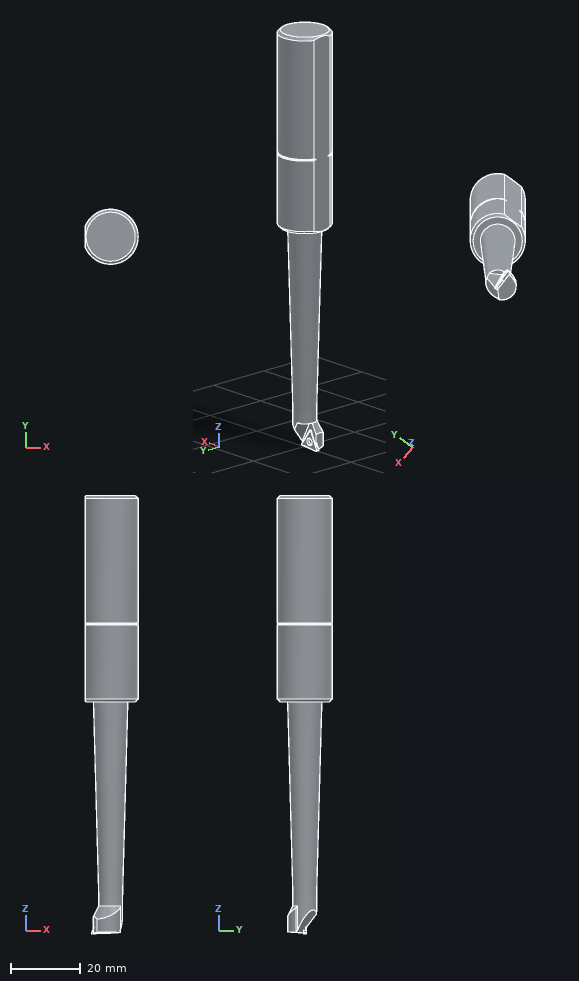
import cadquery as cq
import math

TOTAL_LENGTH = 127.0
SHANK_DIAMETER = 16.0
SHANK_BOTTOM = 67.2
SHANK_CHAMFER = 0.9
FLAT_X = -7.4
GROOVE_Z = 89.8
GROOVE_DEPTH = 0.3

NECK_TOP_DIAMETER = 10.0
NECK_DIAMETER = 7.0
TAPER_END = 11.2
HEAD_TOP = 8.1

FLARE_SLOPE = 0.5
HEAD_LEFT = -5.1
HEAD_CORNER = (-4.0, -3.7)
HEAD_FRONT = (-1.0, -5.0)
HEAD_RIGHT = (2.8, -2.48)
HEAD_SIDE_MIDDLE = (-4.7, -1.8)
HEAD_BOTTOM = 0.3
BOTTOM_TILT = 4.0

POCKET_FLOOR_Y = 0.3
WEB_FOOT_X = 1.7
WEB_TOP_X = -2.4
WEB_DRAFT = 28.0
RELIEF_TOP = 7.0
RELIEF_ANGLE = 63.0

INSERT_TIP_X = -5.6
INSCRIBED_DIAMETER = 4.0
INSERT_TURN = 5.0
HALF_CORNER = 30.0
NOSE_RADIUS = 0.3
INSERT_SEAT_Y = -0.4
INSERT_THICKNESS = 0.9
INSERT_HOLE_DIAMETER = 2.2

NECK_RADIUS = NECK_DIAMETER / 2
CUT_SIZE = 2 * SHANK_DIAMETER


def make_shank():
    shank = (
        cq.Workplane("XY", origin=(0, 0, SHANK_BOTTOM))
        .circle(SHANK_DIAMETER / 2)
        .extrude(TOTAL_LENGTH - SHANK_BOTTOM)
        .faces("<Z or >Z")
        .chamfer(SHANK_CHAMFER)
    )
    flat_cutter = cq.Workplane("XY").box(
        CUT_SIZE, CUT_SIZE, TOTAL_LENGTH, centered=(False, True, False)
    ).translate((FLAT_X - CUT_SIZE, 0, 0))
    outer = SHANK_DIAMETER / 2
    groove = (
        cq.Workplane("XZ")
        .polyline([
            (outer, GROOVE_Z - GROOVE_DEPTH),
            (outer - GROOVE_DEPTH, GROOVE_Z),
            (outer, GROOVE_Z + GROOVE_DEPTH),
        ])
        .close()
        .revolve(360, (0, 0), (0, 1))
    )
    return shank.cut(flat_cutter).cut(groove)


def make_neck():
    outline = [
        (0, 0),
        (NECK_RADIUS, 0),
        (NECK_RADIUS, TAPER_END),
        (NECK_TOP_DIAMETER / 2, SHANK_BOTTOM),
        (0, SHANK_BOTTOM),
    ]
    return cq.Workplane("XZ").polyline(outline).close().revolve(360, (0, 0), (0, 1))


def make_flared_head():
    head = (
        cq.Workplane("XY")
        .moveTo(HEAD_LEFT, POCKET_FLOOR_Y)
        .threePointArc(HEAD_SIDE_MIDDLE, HEAD_CORNER)
        .threePointArc(HEAD_FRONT, HEAD_RIGHT)
        .lineTo(HEAD_RIGHT[0], POCKET_FLOOR_Y)
        .close()
        .extrude(HEAD_TOP)
    )
    flare = (
        cq.Workplane("XZ")
        .polyline([
            (0, 0),
            (NECK_RADIUS + FLARE_SLOPE * HEAD_TOP, 0),
            (NECK_RADIUS, HEAD_TOP),
            (0, HEAD_TOP),
        ])
        .close()
        .revolve(360, (0, 0), (0, 1))
    )
    return head.intersect(flare)


def chip_pocket():
    """Open space in front of the insert, leaving a web on the +X side."""
    pocket = (
        cq.Workplane("XZ", origin=(0, POCKET_FLOOR_Y, 0))
        .polyline([
            (-CUT_SIZE, -HEAD_TOP),
            (WEB_FOOT_X, -HEAD_TOP),
            (WEB_FOOT_X, 0),
            (WEB_TOP_X, HEAD_TOP),
            (-CUT_SIZE, HEAD_TOP),
        ])
        .close()
        .extrude(-SHANK_DIAMETER / 2, taper=-WEB_DRAFT)
    )
    below_ceiling = (
        cq.Workplane("XY", origin=(0, 0, HEAD_TOP))
        .rect(2 * CUT_SIZE, 2 * CUT_SIZE)
        .extrude(-CUT_SIZE)
    )
    return pocket.intersect(below_ceiling)


def web_relief():
    """Sloping cut on the (+X, +Y) side of the web."""
    reach = RELIEF_TOP / math.tan(math.radians(RELIEF_ANGLE))
    return (
        cq.Workplane("XZ")
        .polyline([
            (NECK_RADIUS, RELIEF_TOP),
            (NECK_RADIUS - 2 * reach, -RELIEF_TOP),
            (CUT_SIZE, -RELIEF_TOP),
            (CUT_SIZE, RELIEF_TOP),
        ])
        .close()
        .extrude(CUT_SIZE / 2, both=True)
        .rotate((0, 0, 0), (0, 0, 1), 45)
    )


def bottom_clearance():
    return (
        cq.Workplane("XY")
        .box(CUT_SIZE, CUT_SIZE, CUT_SIZE, centered=(True, True, False))
        .translate((0, 0, -CUT_SIZE))
        .rotate((0, 0, 0), (1, 0, 0), -BOTTOM_TILT)
        .translate((0, 0, HEAD_BOTTOM))
    )


def insert_centre():
    """Centre that puts the tip nose at INSERT_TIP_X and on Z = 0."""
    nose_distance = INSCRIBED_DIAMETER - 2 * NOSE_RADIUS
    bisector = math.radians(INSERT_TURN + HALF_CORNER)
    return (
        INSERT_TIP_X + NOSE_RADIUS + nose_distance * math.cos(bisector),
        INSERT_SEAT_Y,
        NOSE_RADIUS + nose_distance * math.sin(bisector),
    )


def make_insert_blank():
    return (
        cq.Workplane("XZ", origin=insert_centre())
        .transformed(rotate=(0, 0, INSERT_TURN + 90))
        .polygon(3, 2 * INSCRIBED_DIAMETER)
        .extrude(-INSERT_THICKNESS)
        .edges("|Y")
        .fillet(NOSE_RADIUS)
    )


def insert_hole():
    return (
        cq.Workplane("XZ", origin=insert_centre())
        .circle(INSERT_HOLE_DIAMETER / 2)
        .extrude(-INSERT_THICKNESS)
    )


insert_blank = make_insert_blank()
cutting_insert = insert_blank.cut(insert_hole())

lower_bar = (
    make_neck()
    .cut(chip_pocket())
    .union(make_flared_head())
    .cut(web_relief())
    .cut(bottom_clearance())
)
boring_bar = lower_bar.union(make_shank()).cut(insert_blank)

result = cq.Compound.makeCompound([*boring_bar.solids().vals(), *cutting_insert.solids().vals()])